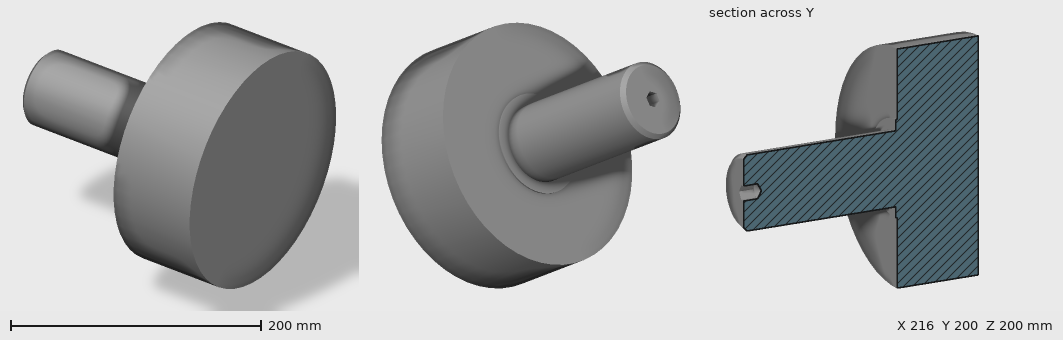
import cadquery as cq
import math

total_length = 216.0

disc_diameter = 200.0
disc_width = 75.0

collar_diameter = 82.5
collar_width = 1.3

stud_diameter = 64.0
stud_chamfer = 3.5

socket_flats = 12.0
socket_depth = 13.0
drill_point_angle = 120.0

stud_length = total_length - disc_width - collar_width


def cylinder_along_x(diameter, start, length):
    """Solid cylinder on the X axis, running from start in the +X direction."""
    return cq.Workplane("YZ", origin=(start, 0, 0)).circle(diameter / 2).extrude(length)


def hexagon_socket():
    """Hexagonal cut with two flats facing Z, ending in a drill point."""
    corner_diameter = socket_flats / math.cos(math.pi / 6)
    hexagon = cq.Workplane("YZ").polygon(6, corner_diameter).extrude(socket_depth)
    point_radius = socket_flats / 2
    point_depth = point_radius / math.tan(math.radians(drill_point_angle / 2))
    drill_point = cq.Workplane("XY").add(
        cq.Solid.makeCone(
            point_radius, 0, point_depth, pnt=cq.Vector(socket_depth, 0, 0), dir=cq.Vector(1, 0, 0)
        )
    )
    return hexagon.union(drill_point)


stud = cylinder_along_x(stud_diameter, 0, stud_length).faces("<X").chamfer(stud_chamfer)
collar = cylinder_along_x(collar_diameter, stud_length, collar_width)
disc = cylinder_along_x(disc_diameter, stud_length + collar_width, disc_width)

result = stud.union(collar).union(disc).cut(hexagon_socket())